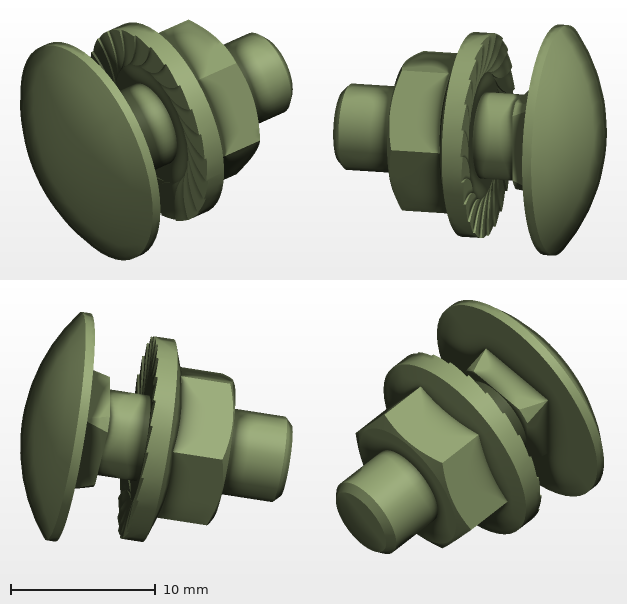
import cadquery as cq
import math


HEAD_DIA = 16.0
HEAD_RIM = 0.65
TOTAL_LENGTH = 18.5
HEAD_HEIGHT = 3.5
SHANK_DIA = 6.0
SHANK_LENGTH = TOTAL_LENGTH - HEAD_HEIGHT
SHANK_CHAMFER = 0.5
NECK_SIDE = 6.2
NECK_LENGTH = 2.0
NECK_END_DIA = 7.7

NUT_SEAT = 4.5
NUT_HEIGHT = 6.03
HEX_FLATS = 9.99
HEX_CORNERS = HEX_FLATS / math.cos(math.pi / 6)
HEX_TOP_DIA = 9.62
HEX_CHAMFER_ANGLE = 30.0
FLANGE_DIA = 14.2
FLANGE_RIM = 1.5
FLANGE_SLOPE = 20.0

TOOTH_COUNT = 24
TOOTH_PITCH = 360.0 / TOOTH_COUNT
TOOTH_START = -1.3
TOOTH_DEPTH = 0.17
TOOTH_SWEEP = 30.0
RECESS_DIA = 8.8
RECESS_DEPTH = 0.39
RIM_CLEARANCE = 0.74


def polar(radius, degrees):
    """Point at an angle from +X towards +Z."""
    angle = math.radians(degrees)
    return (radius * math.cos(angle), radius * math.sin(angle))


def revolve_about_y(profile):
    """Full turn about the bolt axis of a closed (radius, y) profile."""
    return profile.close().revolve(360, (0, 0, 0), (0, 1, 0))


def section(y):
    """Workplane across the axis at y: local x is X, local y is Z, and extrude(-d) goes to +Y."""
    return cq.Workplane("XZ", origin=(0, y, 0))


def make_head_and_shank():
    rim_radius = HEAD_DIA / 2
    dome_height = HEAD_HEIGHT - HEAD_RIM
    dome_radius = (rim_radius**2 + dome_height**2) / (2 * dome_height)
    half_radius = rim_radius / 2
    half_drop = dome_radius - math.sqrt(dome_radius**2 - half_radius**2)
    shank_radius = SHANK_DIA / 2
    profile = (
        cq.Workplane("XY")
        .moveTo(0, -HEAD_HEIGHT)
        .threePointArc((half_radius, half_drop - HEAD_HEIGHT), (rim_radius, -HEAD_RIM))
        .lineTo(rim_radius, 0)
        .lineTo(shank_radius, 0)
        .lineTo(shank_radius, SHANK_LENGTH - SHANK_CHAMFER)
        .lineTo(shank_radius - SHANK_CHAMFER, SHANK_LENGTH)
        .lineTo(0, SHANK_LENGTH)
    )
    return revolve_about_y(profile)


def make_square_neck():
    corner_radius = NECK_SIDE / math.sqrt(2)
    taper = revolve_about_y(
        cq.Workplane("XY")
        .lineTo(corner_radius, 0)
        .lineTo(NECK_END_DIA / 2, NECK_LENGTH)
        .lineTo(0, NECK_LENGTH)
    )
    return section(0).rect(NECK_SIDE, NECK_SIDE).extrude(-NECK_LENGTH).intersect(taper)


def make_bolt():
    return make_head_and_shank().union(make_square_neck())


def make_hexagon():
    """Hexagon with its top corners chamfered by a cone."""
    top = NUT_SEAT + NUT_HEIGHT
    base = NUT_SEAT + FLANGE_RIM
    outer_radius = FLANGE_DIA / 2
    top_radius = HEX_TOP_DIA / 2
    cone_drop = (outer_radius - top_radius) * math.tan(math.radians(HEX_CHAMFER_ANGLE))
    cone = revolve_about_y(
        cq.Workplane("XY")
        .moveTo(0, base)
        .lineTo(outer_radius, base)
        .lineTo(outer_radius, top - cone_drop)
        .lineTo(top_radius, top)
        .lineTo(0, top)
    )
    return section(base).polygon(6, HEX_CORNERS).extrude(base - top).intersect(cone)


def make_flange():
    """Round flange whose sloped top rises until it is hidden inside the hexagon."""
    outer_radius = FLANGE_DIA / 2
    inner_radius = SHANK_DIA / 2
    rim_top = NUT_SEAT + FLANGE_RIM
    slope_rise = (outer_radius - inner_radius) * math.tan(math.radians(FLANGE_SLOPE))
    profile = (
        cq.Workplane("XY")
        .moveTo(0, NUT_SEAT)
        .lineTo(outer_radius, NUT_SEAT)
        .lineTo(outer_radius, rim_top)
        .lineTo(inner_radius, rim_top + slope_rise)
        .lineTo(0, rim_top + slope_rise)
    )
    return revolve_about_y(profile)


def make_tooth_gap():
    """Cutter for one tooth: a plan bounded by two curved steps, with a flat tilted floor."""
    rim = FLANGE_DIA / 2
    recess = RECESS_DIA / 2
    outside = rim + RIM_CLEARANCE

    cos_sweep = math.cos(math.radians(TOOTH_SWEEP))
    arc_radius = (rim**2 + recess**2 - 2 * rim * recess * cos_sweep) / (2 * (rim * cos_sweep - recess))
    centre_x, centre_z = polar(recess + arc_radius, TOOTH_SWEEP)
    rim_angle = math.degrees(math.atan2(-centre_z, rim - centre_x)) % 360
    mid_angle = (rim_angle + 180 + TOOTH_SWEEP) / 2
    mid_dx, mid_dz = polar(arc_radius, mid_angle)
    arc_mid = (centre_x + mid_dx, centre_z + mid_dz)
    mid_radius = math.hypot(*arc_mid)
    mid_turn = math.degrees(math.atan2(arc_mid[1], arc_mid[0]))
    recess_mid = TOOTH_SWEEP - TOOTH_PITCH / 2

    plan = (
        section(NUT_SEAT)
        .moveTo(*polar(rim, 0))
        .threePointArc(arc_mid, polar(recess, TOOTH_SWEEP))
        .threePointArc(polar(recess, recess_mid), polar(recess, TOOTH_SWEEP - TOOTH_PITCH))
        .threePointArc(polar(mid_radius, mid_turn - TOOTH_PITCH), polar(rim, -TOOTH_PITCH))
        .lineTo(*polar(outside, -TOOTH_PITCH))
        .lineTo(*polar(outside, 0))
        .close()
        .extrude(-FLANGE_RIM)
    )

    def floor_point(radius, degrees, depth):
        x, z = polar(radius, degrees)
        return cq.Vector(x, NUT_SEAT + depth, z)

    foot = floor_point(rim, 0, TOOTH_DEPTH)
    tip = floor_point(rim, -TOOTH_PITCH, 0)
    inner = floor_point(recess, recess_mid, RECESS_DEPTH)
    normal = (inner - foot).cross(tip - foot)
    floor_plane = cq.Plane(origin=foot, xDir=tip - foot, normal=normal)
    below_floor = cq.Workplane(floor_plane).rect(2 * FLANGE_DIA, 2 * FLANGE_DIA).extrude(FLANGE_RIM)
    return plan.intersect(below_floor)


def make_nut():
    nut = make_flange().union(make_hexagon())
    nut = nut.cut(section(NUT_SEAT).circle(RECESS_DIA / 2).extrude(-RECESS_DEPTH))
    gap = make_tooth_gap()
    for i in range(TOOTH_COUNT):
        angle = -(TOOTH_START + i * TOOTH_PITCH)
        nut = nut.cut(gap.rotate((0, 0, 0), (0, 1, 0), angle))
    return nut.cut(section(NUT_SEAT).circle(SHANK_DIA / 2).extrude(-NUT_HEIGHT))


bolt = make_bolt()
flange_nut = make_nut()

result = cq.Compound.makeCompound([bolt.val(), flange_nut.val()])